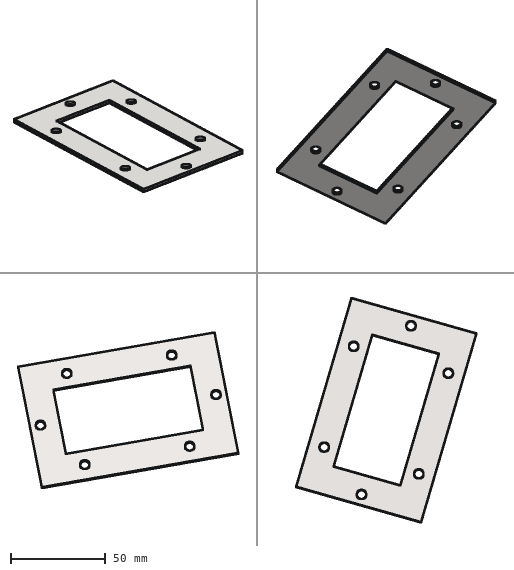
import cadquery as cq

length = 105.5
width = 68.7
thickness = 1.8

window_length = 73.6
window_width = 36.6

hole_diameter = 5.0
corner_hole_spacing_x = 56.3
corner_hole_spacing_y = 52.0
end_hole_spacing = 94.3

plate = cq.Workplane("XY").box(length, width, thickness)

window = cq.Workplane("XY").box(window_length, window_width, thickness)

corner_holes = [
    (side_x * corner_hole_spacing_x / 2, side_y * corner_hole_spacing_y / 2)
    for side_x in (-1, 1)
    for side_y in (-1, 1)
]
end_holes = [(side * end_hole_spacing / 2, 0) for side in (-1, 1)]

result = (
    plate.cut(window)
    .faces(">Z")
    .workplane(origin=(0, 0, 0))
    .pushPoints(corner_holes + end_holes)
    .hole(hole_diameter)
)